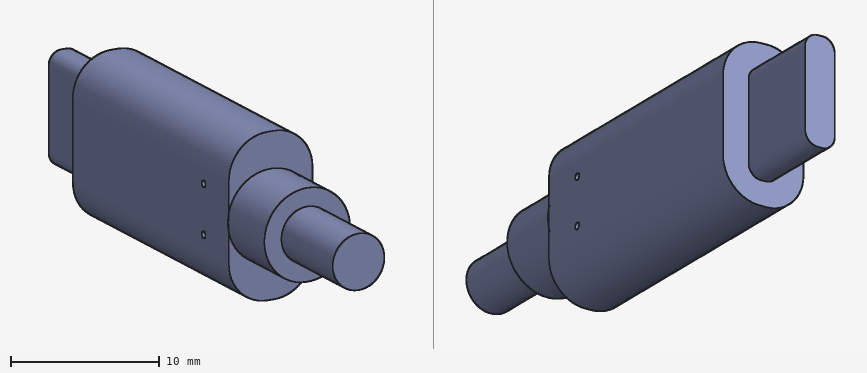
import cadquery as cq

total_length = 40.55

plug_length = 6.97
plug_thickness = 2.4
plug_width = 8.2
plug_radius = 1.0

body_length = 21.5
body_thickness = 6.5
body_width = 11.9
body_radius = 3.0

collar_length = 5.03
collar_diameter = 6.65
cable_diameter = 4.0

hole_diameter = 0.5
hole_spacing = 3.6
hole_to_body_end = 3.5

body_start = plug_length
body_end = body_start + body_length
collar_end = body_end + collar_length
cable_length = total_length - collar_end


def rounded_bar(start, length, thickness, width, radius):
    """Bar along X with its four long edges rounded."""
    bar = cq.Workplane("YZ", origin=(start, 0, 0)).rect(thickness, width).extrude(length)
    return bar.edges("|X").fillet(radius)


def round_bar(start, length, diameter):
    """Cylinder along X."""
    return cq.Workplane("YZ", origin=(start, 0, 0)).circle(diameter / 2).extrude(length)


def side_holes():
    """Pair of small holes through the full thickness of the body."""
    return (
        cq.Workplane("XZ", origin=(body_end - hole_to_body_end, 0, 0))
        .pushPoints([(0, -hole_spacing / 2), (0, hole_spacing / 2)])
        .circle(hole_diameter / 2)
        .extrude(body_thickness, both=True)
    )


plug = rounded_bar(0, plug_length, plug_thickness, plug_width, plug_radius)
body = rounded_bar(body_start, body_length, body_thickness, body_width, body_radius)
collar = round_bar(body_end, collar_length, collar_diameter)
cable = round_bar(collar_end, cable_length, cable_diameter)

result = plug.union(body.cut(side_holes())).union(collar).union(cable)